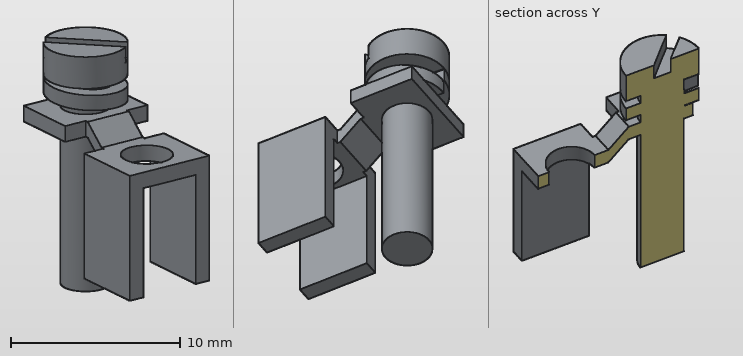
import cadquery as cq


shank_radius = 1.5
head_radius = 2.5
head_height = 2.0
screw_length = 15.2
slot_width = 0.8
slot_depth = 1.0
slot_angle = 45.0

sheet = 1.0
tab_length = 4.2
tab_width = 6.0
bridge_width = 3.0
cage_end = 8.5
cage_length = 4.6
cage_width = 5.8
cage_height = 7.9
cage_hole_radius = 1.55
cage_drop = 1.2
bridge_flat = 0.2

washer_space = 2.0
washer_thickness = 0.95
washer_turn = 358.0
washer_clearance = 0.01
washer_overlap = 0.2

head_bottom = screw_length - head_height
tab_top = head_bottom - washer_space
cage_top = tab_top - cage_drop
cage_start = cage_end - cage_length
cage_centre = cage_end - cage_length / 2
tab_end = tab_length / 2
washer_pitch = washer_space - washer_thickness


def block(x_start, x_end, width, bottom, top):
    """Box centred on Y between the given X and Z limits."""
    corner = (x_start, -width / 2, bottom)
    return cq.Workplane("XY").box(x_end - x_start, width, top - bottom, centered=False).translate(corner)


def make_screw():
    shank = cq.Workplane("XY").circle(shank_radius).extrude(screw_length)
    head = cq.Workplane("XY").workplane(offset=head_bottom).circle(head_radius).extrude(head_height)
    slot = block(-head_radius, head_radius, slot_width, screw_length - slot_depth, screw_length)
    slot = slot.rotate((0, 0, 0), (0, 0, 1), slot_angle)
    return shank.union(head).cut(slot)


def make_spring_washer():
    """One left-handed turn of rectangular section, climbing from the -X side."""
    rise = washer_pitch * washer_turn / 360
    path = cq.Wire.makeHelix(washer_pitch, rise, head_radius, lefthand=True)
    inner_radius = shank_radius - washer_overlap
    section = cq.Workplane("XZ").moveTo(inner_radius, 0).rect(
        head_radius - inner_radius, washer_thickness, centered=False
    )
    coil = section.sweep(cq.Workplane(path), isFrenet=True)
    return coil.rotate((0, 0, 0), (0, 0, 1), 180).translate((0, 0, tab_top + washer_clearance))


def make_bridge():
    """Cranked strip that steps down from the tab to the cage."""
    upper_bend = tab_end + bridge_flat
    lower_bend = cage_start - bridge_flat
    top_edge = [(0, tab_top), (upper_bend, tab_top), (lower_bend, cage_top), (cage_centre, cage_top)]
    bottom_edge = [(x, z - sheet) for x, z in reversed(top_edge)]
    strip = cq.Workplane("XZ").polyline(top_edge + bottom_edge).close()
    return strip.extrude(bridge_width / 2, both=True)


def make_cage():
    """Channel open downward and along X."""
    cage_bottom = cage_top - cage_height
    outer = block(cage_start, cage_end, cage_width, cage_bottom, cage_top)
    inner = block(cage_start, cage_end, cage_width - 2 * sheet, cage_bottom, cage_top - sheet)
    return outer.cut(inner)


def make_bracket():
    tab = block(-tab_end, tab_end, tab_width, tab_top - sheet, tab_top)
    hole = cq.Workplane("XY").center(cage_centre, 0).circle(cage_hole_radius).extrude(screw_length)
    return tab.union(make_bridge()).union(make_cage()).cut(hole)


result = make_screw().union(make_bracket()).union(make_spring_washer())